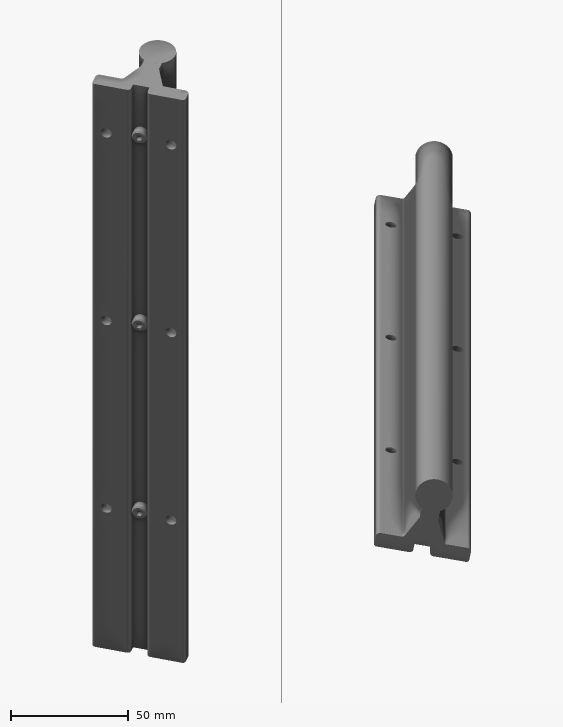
import cadquery as cq
import math

length = 304.8
height = 36.5
base_width = 41.0

shaft_diameter = 16.0
shaft_center_y = height - shaft_diameter / 2

base_thickness = 6.7
base_top_radius = 1.8
base_bottom_radius = 1.2
foot_half_width = 8.8
foot_radius = 1.2
neck_half_width = 4.0
neck_bottom_y = 17.5

channel_width = 7.3
channel_depth = 4.3
channel_mouth_radius = 1.5

station_pitch = length / 3
first_station_offset = station_pitch / 4
station_count = 3
stations = [length - first_station_offset - i * station_pitch for i in range(station_count)]

mount_hole_diameter = 5.0
mount_hole_spacing = 28.5

head_diameter = 6.7
head_height = 3.7
head_chamfer = 0.5
socket_width = 2.7
socket_depth = 2.5


def make_shaft():
    return cq.Workplane("XY").center(0, shaft_center_y).circle(shaft_diameter / 2).extrude(length)


def make_base():
    return (
        cq.Workplane("XY")
        .center(0, base_thickness / 2)
        .rect(base_width, base_thickness)
        .extrude(length)
        .edges("|Z and >Y")
        .fillet(base_top_radius)
        .edges("|Z and <Y")
        .edges("<X or >X")
        .fillet(base_bottom_radius)
    )


def make_web():
    """Web up to the shaft centre; the shaft later cuts its own seat into the neck."""
    return (
        cq.Workplane("XY")
        .moveTo(-foot_half_width, base_thickness)
        .lineTo(-neck_half_width, neck_bottom_y)
        .lineTo(-neck_half_width, shaft_center_y)
        .lineTo(neck_half_width, shaft_center_y)
        .lineTo(neck_half_width, neck_bottom_y)
        .lineTo(foot_half_width, base_thickness)
        .close()
        .extrude(length)
    )


def join_web(base):
    """Base and web in one piece, with a fillet along each foot of the web."""
    foot_edges = cq.selectors.BoxSelector(
        (-foot_half_width - foot_radius, base_thickness - foot_radius, 0),
        (foot_half_width + foot_radius, base_thickness + foot_radius, length),
    )
    return base.union(make_web()).edges("|Z").edges(foot_edges).fillet(foot_radius)


def cut_channel(body):
    """Square slot whose mouth rounds outwards into the underside of the base."""
    slot = (
        cq.Workplane("XY")
        .center(0, channel_depth / 2)
        .rect(channel_width, channel_depth)
        .extrude(length)
    )
    mouth_edges = cq.selectors.BoxSelector(
        (-channel_width, -channel_mouth_radius, 0),
        (channel_width, channel_mouth_radius, length),
    )
    return body.cut(slot).edges("|Z").edges(mouth_edges).fillet(channel_mouth_radius)


def make_mount_hole_cutters():
    centers = [(side * mount_hole_spacing / 2, z) for z in stations for side in (-1, 1)]
    return cq.Workplane("XZ").pushPoints(centers).circle(mount_hole_diameter / 2).extrude(-base_thickness)


def make_rail():
    return (
        cut_channel(join_web(make_base()))
        .cut(make_mount_hole_cutters())
        .cut(make_shaft())
    )


def make_screw(station_z):
    """Head with its back on the channel floor and its socket facing the open side, -Y."""
    hexagon_diameter = socket_width / math.cos(math.pi / 6)
    return (
        cq.Workplane("XZ", origin=(0, channel_depth, station_z))
        .circle(head_diameter / 2)
        .extrude(head_height)
        .faces("<Y")
        .chamfer(head_chamfer)
        .faces("<Y")
        .workplane()
        .polygon(6, hexagon_diameter)
        .cutBlind(-socket_depth)
    )


shaft = make_shaft()
rail = make_rail()
screws = [make_screw(z) for z in stations]

result = cq.Compound.makeCompound([shaft.val(), rail.val(), *[screw.val() for screw in screws]])